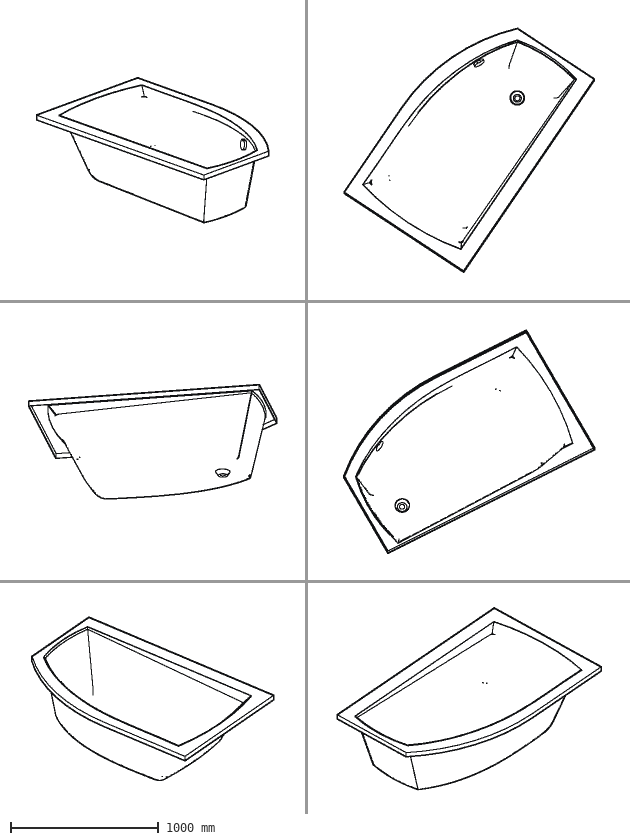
import cadquery as cq
import math

LENGTH = 1595.0
WIDTH = 980.0
RIM_HEIGHT = 38.0
SHEET = 5.0
RIM_EDGE_ROUND = 4.0
BOW_START_X = 702.0
BOW_RADIUS = 1317.0

LEDGE_DEPTH_LEFT = 64.0
LEDGE_DEPTH_RIGHT = 11.0
FLOOR_DEPTH_LEFT = 430.0
FLOOR_DEPTH_RIGHT = 451.0
FLOOR_LEFT_X = 335.0
FLOOR_RIGHT_X = 1413.0
BACKREST_ROUND = 112.0
FLOOR_ROUND = 24.0

TOTAL_HEIGHT = 480.0
DRAIN_X = 1263.0
DRAIN_Y = 410.0
DRAIN_TOP_RADIUS = 48.0
DRAIN_BASE_RADIUS = 27.0
DRAIN_RECESS_RADIUS = 18.0
DRAIN_RECESS_DEPTH = 5.0
DRAIN_BASE_THICKNESS = 10.0

COVER_X = 1263.0
COVER_Y = 725.0
COVER_DEPTH = 72.0
COVER_RADIUS = 37.0
COVER_PROJECTION = 13.0
COVER_SEATING = 48.0
COVER_TURN = 25.0
COVER_TILT = 8.0
COVER_NOTCH_RADIUS = 11.0

OPENING = {
    "front_left": (118.0, 104.0),
    "front_right": (1523.0, 104.0),
    "right_middle": (1555.0, 343.0),
    "left_middle": (70.0, 502.0),
    "back": [(1525.0, 582.0), (1292.0, 738.0), (1085.0, 823.0), (857.0, 877.0), (628.0, 896.0), (118.0, 900.0)],
}
LEDGE = {
    "front_left": (166.0, 129.0),
    "front_right": (1515.0, 115.0),
    "right_middle": (1540.0, 343.0),
    "left_middle": (130.0, 502.0),
    "back": [(1515.0, 579.0), (1285.0, 725.0), (1078.0, 805.0), (852.0, 857.0), (625.0, 872.0), (166.0, 874.0)],
}
FLOOR = {
    "front_left": (FLOOR_LEFT_X, 201.0),
    "front_right": (FLOOR_RIGHT_X, 182.0),
    "right_middle": (1435.0, 343.0),
    "left_middle": (313.0, 502.0),
    "back": [(FLOOR_RIGHT_X, 579.0), (1115.0, 738.0), (828.0, 798.0), (FLOOR_LEFT_X, 807.0)],
}


def floor_z(x):
    """Height of the sloping floor at x."""
    slope = (FLOOR_DEPTH_RIGHT - FLOOR_DEPTH_LEFT) / (FLOOR_RIGHT_X - FLOOR_LEFT_X)
    return -FLOOR_DEPTH_LEFT - slope * (x - FLOOR_LEFT_X)


def ledge_z(x):
    """Height of the ledge crease at x; it rises from the backrest to the drain end."""
    left_x = LEDGE["left_middle"][0]
    slope = (LEDGE_DEPTH_LEFT - LEDGE_DEPTH_RIGHT) / (LEDGE["right_middle"][0] - left_x)
    return -LEDGE_DEPTH_LEFT + slope * (x - left_x)


def basin_wire(outline, height, thickness):
    """Closed outline with bowed ends, at height(x), grown outward by thickness."""
    def place(point, x_sign, y_sign):
        x = point[0] + x_sign * thickness
        return cq.Vector(x, point[1] + y_sign * thickness, height(x) - thickness)

    front_left = place(outline["front_left"], -1, -1)
    front_right = place(outline["front_right"], 1, -1)
    right_middle = place(outline["right_middle"], 1, 0)
    left_middle = place(outline["left_middle"], -1, 0)
    back_right = place(outline["back"][0], 1, 1)
    back_left = place(outline["back"][-1], -1, 1)
    back_middle = [place(point, 0, 1) for point in outline["back"][1:-1]]
    return cq.Wire.assembleEdges([
        cq.Edge.makeLine(front_left, front_right),
        cq.Edge.makeThreePointArc(front_right, right_middle, back_right),
        cq.Edge.makeSpline([back_right, *back_middle, back_left]),
        cq.Edge.makeThreePointArc(back_left, left_middle, front_left),
    ])


def basin_solid(thickness):
    """Filled basin: flared ledge above, tapering wall below, rounded at the floor."""
    opening = basin_wire(OPENING, lambda x: thickness, thickness)
    ledge = basin_wire(LEDGE, ledge_z, thickness)
    floor = basin_wire(FLOOR, floor_z, thickness)
    upper = cq.Solid.makeLoft([opening, ledge], True)
    lower = cq.Workplane(cq.Solid.makeLoft([ledge, floor], True))
    lower = lower.faces("<Z").edges("<X").fillet(BACKREST_ROUND + thickness)
    floor_edges = lower.faces("<Z").edges("not <X")
    lower = floor_edges.fillet(FLOOR_ROUND + thickness)
    return cq.Workplane(upper).union(lower)


def rim_slab(inset, top, bottom):
    """Rim plan with its bowed back-right corner, inset from the outer edge."""
    radius = BOW_RADIUS - inset
    center_y = WIDTH - BOW_RADIUS
    right = LENGTH - inset
    back = WIDTH - inset

    def bow_y(x):
        return center_y + math.sqrt(radius**2 - (x - BOW_START_X) ** 2)

    middle_x = (BOW_START_X + right) / 2
    return (
        cq.Workplane("XY", origin=(0, 0, bottom))
        .moveTo(inset, inset)
        .lineTo(right, inset)
        .lineTo(right, bow_y(right))
        .threePointArc((middle_x, bow_y(middle_x)), (BOW_START_X, back))
        .lineTo(inset, back)
        .close()
        .extrude(top - bottom)
    )


def drain_cone(growth, top, bottom):
    """Cone of the drain cup; growth is its wall thickness."""
    return cq.Workplane(
        cq.Solid.makeCone(
            DRAIN_BASE_RADIUS + growth,
            DRAIN_TOP_RADIUS + growth,
            top - bottom,
            pnt=cq.Vector(DRAIN_X, DRAIN_Y, bottom),
            dir=cq.Vector(0, 0, 1),
        )
    )


def make_tub(cavity):
    rim = rim_slab(0, 0, -RIM_HEIGHT).edges("|Z or >Z").fillet(RIM_EDGE_ROUND)
    rim = rim.cut(rim_slab(SHEET, -SHEET, -RIM_HEIGHT))
    drain_top = floor_z(DRAIN_X)
    bowl_base = -TOTAL_HEIGHT + DRAIN_BASE_THICKNESS
    recess = (
        cq.Workplane("XY", origin=(DRAIN_X, DRAIN_Y, bowl_base - DRAIN_RECESS_DEPTH))
        .circle(DRAIN_RECESS_RADIUS)
        .extrude(DRAIN_RECESS_DEPTH)
    )
    basin = basin_solid(SHEET).intersect(rim_slab(0, 0, -TOTAL_HEIGHT))
    cup = drain_cone(SHEET, drain_top, -TOTAL_HEIGHT)
    bowl = drain_cone(0, drain_top + SHEET, bowl_base)
    return rim.union(basin).union(cup).cut(cavity).cut(bowl).cut(recess)


def make_overflow_cover(cavity):
    """Round button, notched at the top, with its back face following the wall."""
    turn = math.radians(COVER_TURN)
    tilt = math.radians(COVER_TILT)
    inward = cq.Vector(
        -math.sin(turn) * math.cos(tilt), -math.cos(turn) * math.cos(tilt), math.sin(tilt)
    )
    across = cq.Vector(math.cos(turn), -math.sin(turn), 0)
    plane = cq.Plane(origin=(COVER_X, COVER_Y, -COVER_DEPTH), xDir=across, normal=inward)
    button = (
        cq.Workplane(plane)
        .workplane(offset=-COVER_SEATING)
        .circle(COVER_RADIUS)
        .extrude(COVER_SEATING + COVER_PROJECTION)
    )
    notch = (
        cq.Workplane(plane)
        .workplane(offset=-COVER_SEATING)
        .center(0, COVER_RADIUS)
        .circle(COVER_NOTCH_RADIUS)
        .extrude(COVER_SEATING + COVER_PROJECTION)
    )
    return button.cut(notch).intersect(cavity)


basin_cavity = basin_solid(0)
tub = make_tub(basin_cavity)
overflow_cover = make_overflow_cover(basin_cavity)
result = cq.Compound.makeCompound([tub.solids().val(), overflow_cover.solids().val()])